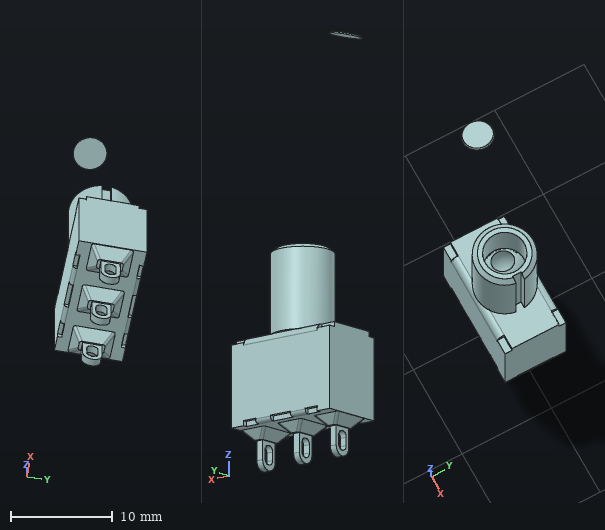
import cadquery as cq
import math


overall_height = 43.0
housing_bottom = 4.0
housing_top = 12.95
bushing_top = 21.7

housing_length = 12.7
housing_width = 6.85
panel_length = 9.45
panel_round = 0.77
end_step_height = 0.5
end_step_width = panel_round
tab_center = 2.25
tab_length = 1.95
tab_round = 0.45
recess_height = 0.5
recess_depth = 0.45

bushing_radius = 6.4 / 2
bushing_chamfer_height = 0.45
bushing_chamfer_width = 0.5
bore_radius = 4.35 / 2
keyway_floor = 2.5
keyway_width = 0.95

lever_tilt = 12.0
pivot_height = 16.5
ball_radius = 2.25
dimple_radius = 2.0
dimple_offset = 0.25
cap_base_radius = 1.68
cap_top_radius = 1.55
cap_thickness = 0.17

lug_spacing = 4.75
lug_thickness = 0.77
lug_width = 1.95
eye_width = 1.1
eye_bottom = 0.6
eye_top = 2.6

collar_bottom = 2.95
collar_base_size = (3.1, 4.2)
collar_tip_size = (1.05, 2.6)
collar_corner = 0.25


def make_block():
    """Housing block with stepped ends, rounded top edges and rounded bottom tabs."""
    height = housing_top - housing_bottom
    base = cq.Workplane("XY").workplane(offset=housing_bottom)
    middle = base.box(panel_length, housing_width, height, centered=(True, True, False))
    middle = middle.edges("|X and >Z").fillet(panel_round)

    core_width = housing_width - 2 * end_step_width
    core = base.box(housing_length, core_width, height, centered=(True, True, False))

    end_length = (housing_length - panel_length) / 2
    end_center = (housing_length + panel_length) / 4
    ends = (
        base.pushPoints([(-end_center, 0), (end_center, 0)])
        .rect(end_length, housing_width).extrude(height - end_step_height)
    )
    block = middle.union(core).union(ends)

    outer_recess_start = tab_center + tab_length / 2
    inner_recess_end = tab_center - tab_length / 2
    recess_spans = [
        (-panel_length / 2, -outer_recess_start),
        (-inner_recess_end, inner_recess_end),
        (outer_recess_start, panel_length / 2),
    ]
    recess_y = (housing_width - recess_depth) / 2
    for start, end in recess_spans:
        recess = (
            cq.Workplane("XY").workplane(offset=housing_bottom)
            .pushPoints([((start + end) / 2, side * recess_y) for side in (-1, 1)])
            .rect(end - start, recess_depth).extrude(recess_height)
        )
        block = block.cut(recess)

    for side in (-1, 1):
        edge_y = side * housing_width / 2
        for tab_x in (-tab_center, tab_center):
            tab_edge = cq.NearestToPointSelector((tab_x, edge_y, housing_bottom))
            block = block.edges(tab_edge).fillet(tab_round)
    return block


def make_bushing():
    """Chamfered tube whose bore is closed by the ball, with a keyway on the +X side."""
    ball_top = pivot_height + ball_radius
    ball_edge = pivot_height + math.sqrt(ball_radius**2 - bore_radius**2)
    half_angle = math.asin(bore_radius / ball_radius) / 2
    ball_middle = (
        ball_radius * math.sin(half_angle),
        pivot_height + ball_radius * math.cos(half_angle),
    )
    bushing = (
        cq.Workplane("XZ")
        .moveTo(0, housing_top)
        .lineTo(bushing_radius, housing_top)
        .lineTo(bushing_radius, bushing_top - bushing_chamfer_height)
        .lineTo(bushing_radius - bushing_chamfer_width, bushing_top)
        .lineTo(bore_radius, bushing_top)
        .lineTo(bore_radius, ball_edge)
        .threePointArc(ball_middle, (0, ball_top))
        .close()
        .revolve(360, (0, 0, 0), (0, 1, 0))
    )
    keyway = (
        cq.Workplane("XY").workplane(offset=housing_top).center(bushing_radius, 0)
        .rect(2 * (bushing_radius - keyway_floor), keyway_width)
        .extrude(bushing_top - housing_top)
    )
    return bushing.cut(keyway)


def make_dimple():
    """Spherical hollow in the ball, centred on the lever axis."""
    dimple = cq.Workplane("XY").sphere(dimple_radius).translate((0, 0, dimple_offset))
    return dimple.rotate((0, 0, 0), (0, 1, 0), -lever_tilt).translate((0, 0, pivot_height))


def make_lug(x):
    """Solder lug with a rounded end, an oblong eye and a tapered collar at its root."""
    tip_radius = lug_width / 2
    lug = (
        cq.Workplane("YZ").workplane(offset=x - lug_thickness / 2)
        .moveTo(-tip_radius, housing_bottom)
        .lineTo(-tip_radius, tip_radius)
        .threePointArc((0, 0), (tip_radius, tip_radius))
        .lineTo(tip_radius, housing_bottom)
        .close().extrude(lug_thickness)
    )
    eye = (
        cq.Workplane("YZ").workplane(offset=x - lug_thickness / 2)
        .center(0, (eye_bottom + eye_top) / 2)
        .slot2D(eye_top - eye_bottom, eye_width, 90).extrude(lug_thickness)
    )
    tip = cq.Sketch().rect(*collar_tip_size).vertices().fillet(collar_corner)
    base = cq.Sketch().rect(*collar_base_size).vertices().fillet(collar_corner)
    collar = (
        cq.Workplane("XY").workplane(offset=collar_bottom).center(x, 0)
        .placeSketch(tip, base.moved(cq.Location(cq.Vector(0, 0, housing_bottom - collar_bottom))))
        .loft()
    )
    return lug.cut(eye).union(collar)


def make_switch():
    """Housing block, bushing and lugs as one solid."""
    switch = make_block().union(make_bushing()).cut(make_dimple())
    for x in (-lug_spacing, 0, lug_spacing):
        switch = switch.union(make_lug(x))
    return switch


def make_lever_cap():
    """Thin tapered disc, square to the lever axis, touching the overall height."""
    tilt = math.radians(lever_tilt)
    rim_rise = cap_thickness * math.cos(tilt) + cap_top_radius * math.sin(tilt)
    base_z = overall_height - rim_rise
    base_x = -(base_z - pivot_height) * math.tan(tilt)
    cap = cq.Workplane("XY").circle(cap_base_radius)
    cap = cap.workplane(offset=cap_thickness).circle(cap_top_radius).loft()
    return cap.rotate((0, 0, 0), (0, 1, 0), -lever_tilt).translate((base_x, 0, base_z))


switch = make_switch()
lever_cap = make_lever_cap()

result = cq.Compound.makeCompound([switch.val(), lever_cap.val()])